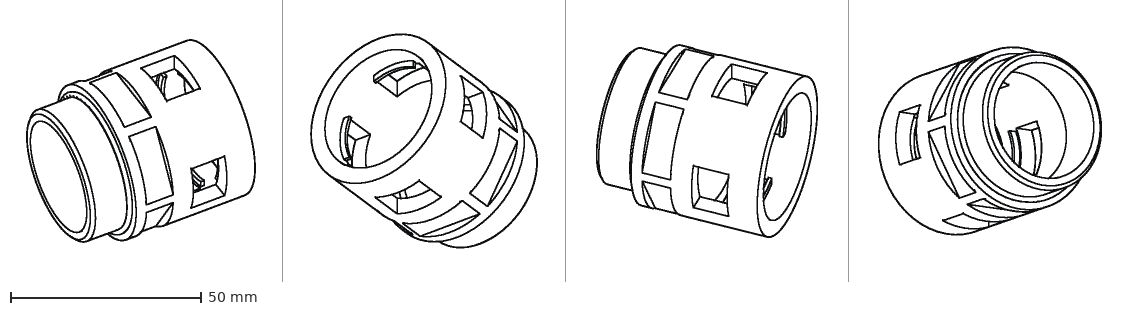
import cadquery as cq

total_length = 47.0
spigot_length = 11.4
hex_start = 14.5
hex_width = 8.0
window_start = 28.5
window_length = 10.0
step_depth = 13.5

body_diameter = 43.5
spigot_diameter = 37.0
front_bore_diameter = 31.0
rear_bore_diameter = 34.5

spigot_chamfer = 1.0
ring_outer_diameter = 39.8
ring_section = 1.5
ring_projection = 1.3
hex_across_flats = 39.0
flat_count = 6
window_width = 14.2
window_count = 4

lip_bore_diameter = 31.2
lip_setback = 0.65
lip_width = 12.7
lip_length = 1.0
lip_overlap = 0.5
lip_start = window_start + window_length + lip_setback


def cylinder(diameter, start, length):
    """Solid cylinder about the Y axis, running in +Y from the given station."""
    plane = cq.Workplane("XZ", origin=(0, start, 0))
    return plane.circle(diameter / 2).extrude(-length)


def outer_shape():
    """Body with the chamfered spigot in front of it."""
    spigot = cylinder(spigot_diameter, 0, spigot_length).faces("<Y").chamfer(spigot_chamfer)
    body = cylinder(body_diameter, spigot_length, total_length - spigot_length)
    return body.union(spigot)


def sealing_ring():
    """Round bead on the spigot root, partly sunk into the spigot and the body shoulder."""
    section_radius = ring_section / 2
    center_radius = ring_outer_diameter / 2 - section_radius
    center_y = spigot_length + section_radius - ring_projection
    bead = cq.Workplane("XY").center(-center_radius, center_y).circle(section_radius)
    return bead.revolve(360, (center_radius, 0), (center_radius, 1))


def turned_copies(shape, count):
    """The shape repeated evenly around the Y axis."""
    return [shape.rotate((0, 0, 0), (0, 1, 0), index * 360 / count) for index in range(count)]


def upper_block(width, start, length, bottom, height):
    """Box centred on X, standing on Z = bottom and running in +Y from the given station."""
    block = cq.Workplane("XY").box(width, length, height, centered=(True, False, False))
    return block.translate((0, start, bottom))


def cut_bore(part):
    """Narrow bore through the spigot, wider bore from the step to the rear face."""
    part = part.cut(cylinder(front_bore_diameter, 0, total_length))
    return part.cut(cylinder(rear_bore_diameter, step_depth, total_length - step_depth))


def cut_flats(part):
    """Spanner flats cut into the body, one facing straight up."""
    cutter = upper_block(body_diameter, hex_start, hex_width, hex_across_flats / 2, body_diameter)
    for turned_cutter in turned_copies(cutter, flat_count):
        part = part.cut(turned_cutter)
    return part


def cut_windows(part):
    """Rectangular windows through the wall, on the X and Z axes."""
    cutter = upper_block(window_width, window_start, window_length, 0, body_diameter)
    for turned_cutter in turned_copies(cutter, window_count):
        part = part.cut(turned_cutter)
    return part


def add_lips(part):
    """Short inward lips in the rear bore, one centred behind each window."""
    collar = cylinder(rear_bore_diameter + 2 * lip_overlap, lip_start, lip_length)
    collar = collar.cut(cylinder(lip_bore_diameter, lip_start, lip_length))
    lip = collar.intersect(upper_block(lip_width, lip_start, lip_length, 0, body_diameter))
    for turned_lip in turned_copies(lip, window_count):
        part = part.union(turned_lip)
    return part


shell = cut_bore(outer_shape().union(sealing_ring()))
result = add_lips(cut_windows(cut_flats(shell)))